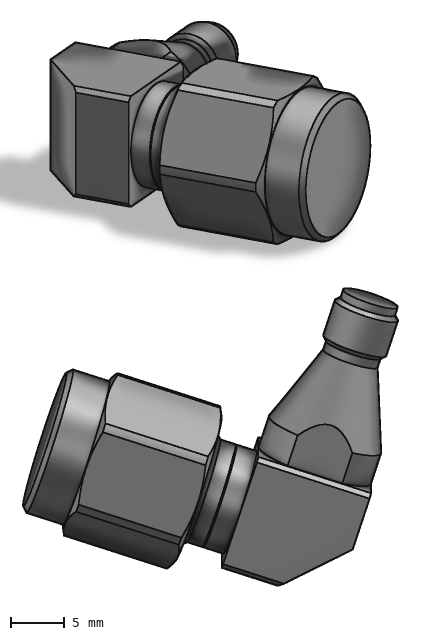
import cadquery as cq
import math

OVERALL_LENGTH = 30.05

BLOCK_SIDE = 11.0
BLOCK_HALF = BLOCK_SIDE / 2
EDGE_CHAMFER = 0.45
NECK_RADIUS = 5.02
NECK_LENGTH = 1.95
NECK_END = BLOCK_HALF + NECK_LENGTH

NUT_END = OVERALL_LENGTH - BLOCK_HALF
GROOVE_WIDTH = 0.12
GROOVE_RADIUS = 4.5
TAIL_FLARE = 0.55
HEX_START = 9.6
HEX_END = 20.52
HEX_SIDES = 6
HEX_FLATS = 14.27
HEX_CORNER_RADIUS = 8.0
HEX_FACE_RADIUS = 7.05
HEX_BEVEL = 0.45
SLEEVE_RADIUS = 7.0
SLEEVE_BEVEL = 0.48

PLUG_END = OVERALL_LENGTH - HEX_CORNER_RADIUS
PLUG_FLATS = 9.62
CONE_START = 8.53
CONE_END = 16.1
TIP_RADIUS = 2.67
COLLAR_RADIUS = 3.1
COLLAR_START = 16.98
COLLAR_END = 21.28
COLLAR_BEVEL = COLLAR_RADIUS - TIP_RADIUS


def x_cylinder(radius, start, end):
    return cq.Workplane("YZ", origin=(start, 0, 0)).circle(radius).extrude(end - start)


def make_elbow():
    block = cq.Workplane("XY").box(BLOCK_SIDE, BLOCK_SIDE, BLOCK_SIDE)
    block = block.edges("|X").chamfer(EDGE_CHAMFER)
    corner = (
        cq.Workplane("XY", origin=(0, 0, -BLOCK_HALF))
        .polyline([(-BLOCK_HALF, 0), (-BLOCK_HALF, -BLOCK_HALF), (0, -BLOCK_HALF)])
        .close()
        .extrude(BLOCK_SIDE)
    )
    neck = x_cylinder(NECK_RADIUS, BLOCK_HALF, NECK_END)
    return block.cut(corner).union(neck)


def make_plug():
    profile = [
        (0, BLOCK_HALF),
        (BLOCK_HALF, BLOCK_HALF),
        (BLOCK_HALF, CONE_START),
        (TIP_RADIUS, CONE_END),
        (TIP_RADIUS, COLLAR_START),
        (COLLAR_RADIUS, COLLAR_START + COLLAR_BEVEL),
        (COLLAR_RADIUS, COLLAR_END - COLLAR_BEVEL),
        (TIP_RADIUS, COLLAR_END),
        (TIP_RADIUS, PLUG_END),
        (0, PLUG_END),
    ]
    turned = cq.Workplane("XY").polyline(profile).close().revolve(360, (0, 0, 0), (0, 1, 0))
    flats = cq.Workplane("XY").box(BLOCK_SIDE, 2 * PLUG_END, PLUG_FLATS)
    return turned.intersect(flats)


def make_nut():
    hexagon = (
        cq.Workplane("YZ", origin=(HEX_START, 0, 0))
        .polygon(HEX_SIDES, HEX_FLATS / math.cos(math.pi / HEX_SIDES))
        .extrude(HEX_END - HEX_START)
    )
    envelope_profile = [
        (HEX_START, 0),
        (HEX_START, HEX_FACE_RADIUS),
        (HEX_START + HEX_BEVEL, HEX_CORNER_RADIUS),
        (HEX_END - HEX_BEVEL, HEX_CORNER_RADIUS),
        (HEX_END, HEX_FACE_RADIUS),
        (HEX_END, 0),
    ]
    envelope = cq.Workplane("XY").polyline(envelope_profile).close().revolve(360, (0, 0, 0), (1, 0, 0))
    tail_profile = [
        (NECK_END, 0),
        (NECK_END, GROOVE_RADIUS),
        (NECK_END + GROOVE_WIDTH, GROOVE_RADIUS),
        (NECK_END + GROOVE_WIDTH, NECK_RADIUS),
        (HEX_START - TAIL_FLARE, NECK_RADIUS),
        (HEX_START, NECK_RADIUS + TAIL_FLARE),
        (HEX_START, 0),
    ]
    tail = cq.Workplane("XY").polyline(tail_profile).close().revolve(360, (0, 0, 0), (1, 0, 0))
    sleeve = x_cylinder(SLEEVE_RADIUS, HEX_END, NUT_END).faces(">X").chamfer(SLEEVE_BEVEL)
    return hexagon.intersect(envelope).union(tail).union(sleeve)


elbow = make_elbow()
plug = make_plug()
nut = make_nut()

result = cq.Compound.makeCompound([elbow.val(), plug.val(), nut.val()])